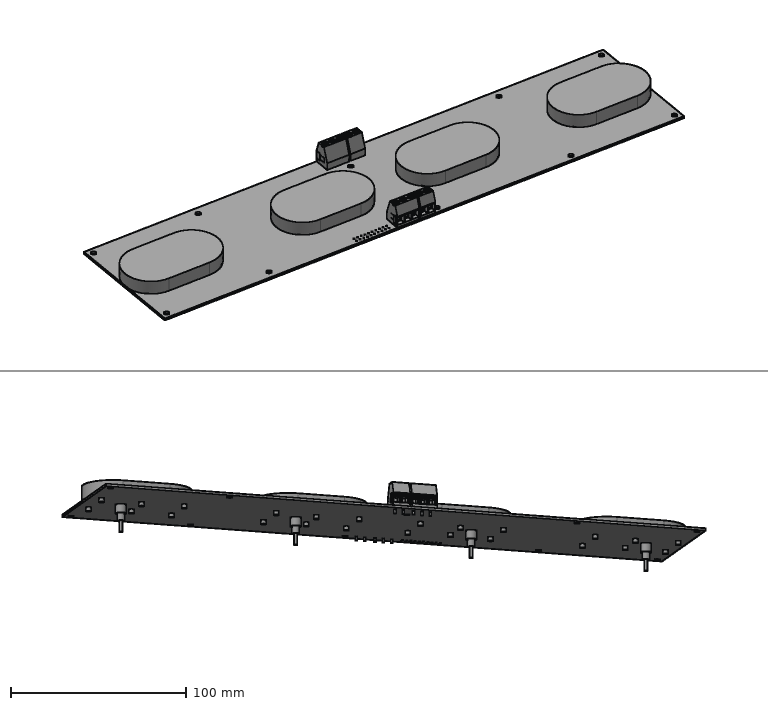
import cadquery as cq

overall_length = 360.0
board_width = 81.5
board_length = 359.3
board_thickness = 1.5

mounting_hole_diameter = 3.2
corner_hole_x = 36.7
corner_hole_y = 175.7
inner_hole_y = 104.0
lower_inner_hole_x = 35.5
mounting_holes = [
    (-corner_hole_x, corner_hole_y),
    (corner_hole_x, corner_hole_y),
    (-lower_inner_hole_x, inner_hole_y),
    (corner_hole_x, inner_hole_y),
    (-lower_inner_hole_x, -inner_hole_y),
    (lower_inner_hole_x, -inner_hole_y),
    (-corner_hole_x, -corner_hole_y),
    (corner_hole_x, -corner_hole_y),
    (corner_hole_x, 11.5),
    (-25.5, -5.5),
]

contact_rows = 10
contact_pitch = 2.5
contact_diameter = 0.8
first_contact_x = 35.5
first_contact_y = -22.7

oval_width = 36.0
oval_length = 64.0
oval_height = 8.5
oval_x = 1.0
outer_oval_y = (overall_length - oval_length) / 2
inner_oval_y = 43.2

peg_diameter = 3.0
peg_drop = 2.0
end_peg_x = 12.0
end_peg_y = 25.0
middle_peg_x = 9.5
pin_y = 9.5
pin_steps = [(6.0, 5.0), (4.5, 4.5), (2.0, 6.5)]

pole_pitch = 5.0
block_gap = 1.0
block_height = 14.0
block_depth = 10.8
block_front_height = 7.5
block_back_height = 4.7
block_top_front = 2.0
block_top_back = 7.5
block_row_start_y = 7.5
block_row_poles = [2, 3]
terminal_x = 5.0
solder_pin_diameter = 1.3
solder_pin_drop = 2.0
screw_hole_diameter = 4.0
screw_hole_depth = 0.7
screw_slot_width = 1.0
screw_slot_depth = 0.7
wire_opening_width = 4.5
wire_opening_height = 5.0
wire_opening_z = 4.5
wire_opening_depth = 3.0
wire_pocket_width = 4.0
wire_pocket_height = 3.2
wire_pocket_depth = 7.2

tongue_front = 0.7
tongue_back = 3.0
tongue_bottom = 1.8
tongue_top = 7.2
tongue_projection = 0.7


def rod(diameter, x, y, top, length):
    """Vertical cylinder reaching down from the height `top`."""
    return cq.Workplane("XY", origin=(x, y, top)).circle(diameter / 2).extrude(-length)


def make_oval():
    """Oval housing with six pegs and an off-centre stepped pin, centred on the origin."""
    oval = (
        cq.Workplane("XY", origin=(0, 0, board_thickness))
        .slot2D(oval_length, oval_width, 90)
        .extrude(oval_height)
    )
    for side in (-1, 1):
        pegs = [(side * middle_peg_x, 0)]
        pegs += [(side * end_peg_x, end * end_peg_y) for end in (-1, 1)]
        for x, y in pegs:
            oval = oval.union(rod(peg_diameter, x, y, board_thickness, board_thickness + peg_drop))
    step_top = 0
    oval = oval.union(rod(pin_steps[0][0], 0, pin_y, board_thickness, board_thickness))
    for diameter, length in pin_steps:
        oval = oval.union(rod(diameter, 0, pin_y, step_top, length))
        step_top -= length
    return oval


def make_tongue(end_y):
    """Tongue projecting in +Y from the end face at `end_y`."""
    size = (tongue_back - tongue_front, tongue_projection, tongue_top - tongue_bottom)
    return cq.Workplane("XY").box(*size, centered=False).translate((tongue_front, end_y, tongue_bottom))


def make_block(poles):
    """Terminal block standing on Z = 0, wire face in the plane X = 0, centred along Y."""
    half_width = poles * pole_pitch / 2
    profile = [
        (0, 0),
        (block_depth, 0),
        (block_depth, block_back_height),
        (block_top_back, block_height),
        (block_top_front, block_height),
        (0, block_front_height),
    ]
    block = cq.Workplane("XZ").polyline(profile).close().extrude(half_width, both=True)
    block = block.union(make_tongue(half_width))
    for pole in range(poles):
        block = add_terminal(block, (pole - (poles - 1) / 2) * pole_pitch)
    return block


def add_terminal(block, y):
    """Cut the wire entry and the screw recess of one pole and add its solder pin."""
    wire_face = cq.Workplane("YZ", origin=(0, y, wire_opening_z))
    opening = wire_face.rect(wire_opening_width, wire_opening_height).extrude(wire_opening_depth)
    pocket = wire_face.rect(wire_pocket_width, wire_pocket_height).extrude(wire_pocket_depth)
    screw_hole = rod(screw_hole_diameter, terminal_x, y, block_height, screw_hole_depth)
    screw_slot = (
        cq.Workplane("XY", origin=(terminal_x, y, block_height))
        .rect(screw_slot_width, screw_hole_diameter)
        .extrude(-screw_hole_depth - screw_slot_depth)
    )
    solder_pin = rod(solder_pin_diameter, terminal_x, y, 0, board_thickness + solder_pin_drop)
    return block.cut(opening).cut(pocket).cut(screw_hole).cut(screw_slot).union(solder_pin)


def place_ovals():
    """Four ovals; the pins of both upper ones point to +Y, of both lower ones to -Y."""
    ovals = []
    for y, turn in ((outer_oval_y, 0), (inner_oval_y, 0), (-inner_oval_y, 180), (-outer_oval_y, 180)):
        ovals.append(make_oval().rotate((0, 0, 0), (0, 0, 1), turn).translate((oval_x, y, 0)))
    return ovals


def place_blocks():
    """A row of blocks on each long edge, with the wire faces flush with the board edges."""
    blocks = []
    for side, turn in ((-1, 0), (1, 180)):
        row_y = block_row_start_y
        for poles in block_row_poles:
            width = poles * pole_pitch
            center_y = row_y - width / 2
            block = make_block(poles).rotate((0, 0, 0), (0, 0, 1), turn)
            blocks.append(block.translate((side * board_width / 2, center_y, board_thickness)))
            row_y -= width + block_gap
    return blocks


def make_board(mounted_parts):
    """Board with mounting holes, contact holes, and a matching hole for every peg and pin."""
    board = cq.Workplane("XY").box(board_width, board_length, board_thickness, centered=(True, True, False))
    for x, y in mounting_holes:
        board = board.cut(rod(mounting_hole_diameter, x, y, board_thickness, board_thickness))
    for column in range(2):
        for row in range(contact_rows):
            x = first_contact_x + column * contact_pitch
            y = first_contact_y - row * contact_pitch
            board = board.cut(rod(contact_diameter, x, y, board_thickness, board_thickness))
    for part in mounted_parts:
        board = board.cut(part)
    return board


ovals = place_ovals()
blocks = place_blocks()
board = make_board(ovals + blocks)

result = cq.Compound.makeCompound([board.val()] + [part.val() for part in ovals + blocks])